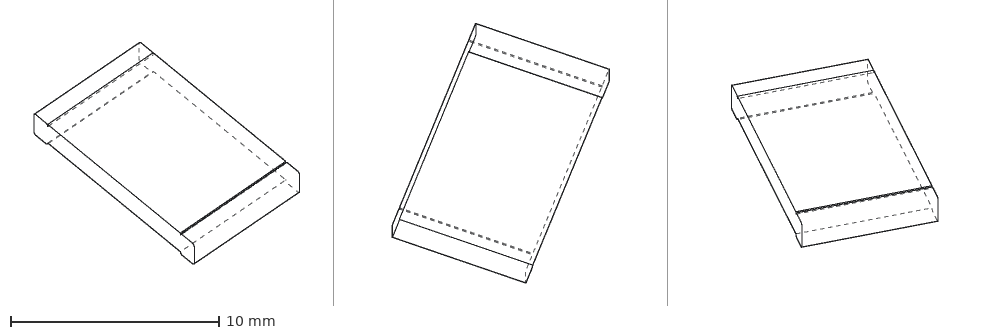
import cadquery as cq

length = 11.43
width = 6.85
height = 1.5
plating = 0.15
terminal_reach = 1.0

core_length = length - 2 * plating
core_height = height - 2 * plating
coating_length = length - 2 * terminal_reach
edge_radius = plating


def terminal(side):
    """Wrap-around cap with rounded edges; side is -1 or 1 along X."""
    center_x = side * (length - terminal_reach) / 2
    return (
        cq.Workplane("XY")
        .box(terminal_reach, width, height)
        .edges("|Y")
        .fillet(edge_radius)
        .translate((center_x, 0, 0))
    )


core = cq.Workplane("XY").box(core_length, width, core_height)

coating = (
    cq.Workplane("XY")
    .box(coating_length, width, plating)
    .translate((0, 0, (core_height + plating) / 2))
)

result = core.union(coating)
for side in (-1, 1):
    result = result.union(terminal(side))